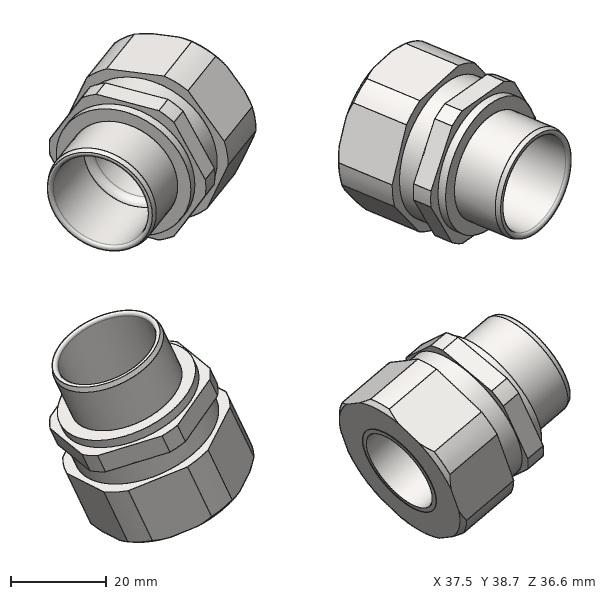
import cadquery as cq
import math

taper_start = 0.1
taper_end = 1.25
collar_start = 12.0
body_hex_start = 14.02
neck_start = 18.6
nut_start = 23.63
nut_end = 38.6
total_length = 38.73

tube_radius = 12.47
tube_tip_radius = 12.1
collar_radius = 15.5
neck_radius = 16.23
body_hex_flats = 33.0
body_hex_corner_radius = 18.0
nut_flats = 35.0
nut_corner_radius = 18.75
nut_angle = 8.6
nut_chamfer = 0.95
end_ring_radius = 10.85

tube_bore_radius = 10.95
bore_radius = 9.72
shoulder_start = 15.88
shoulder_sweep = math.radians(60)
lip_round = 0.75


def cylinder(radius, start, end):
    """Round bar along Y between two stations."""
    plane = cq.Workplane("XZ", origin=(0, start, 0))
    return plane.circle(radius).extrude(start - end)


def revolve_about_y(outline):
    """Turn a closed XY outline around the part's axis."""
    return outline.revolve(360, (0, 0, 0), (0, 1, 0))


def rounded_hex(flats, corner_radius, start, end):
    """Hexagon with flats facing Z and corners turned to a cylinder."""
    plane = cq.Workplane("XZ", origin=(0, start, 0))
    corner_diameter = flats / math.cos(math.pi / 6)
    hexagon = plane.polygon(6, corner_diameter).extrude(start - end)
    return hexagon.intersect(cylinder(corner_radius, start, end))


def make_tube():
    """Tube with a tapered tip and a rounded lip around its mouth."""
    crest_radius = tube_bore_radius + lip_round
    outline = (
        cq.Workplane("XY")
        .moveTo(0, lip_round)
        .lineTo(tube_bore_radius, lip_round)
        .threePointArc((crest_radius, 0), (tube_tip_radius, taper_start))
        .lineTo(tube_radius, taper_end)
        .lineTo(tube_radius, collar_start)
        .lineTo(0, collar_start)
        .close()
    )
    return revolve_about_y(outline)


def make_nut():
    """Turned hex nut, chamfered around its far face."""
    nut = rounded_hex(nut_flats, nut_corner_radius, nut_start, nut_end)
    envelope = cylinder(nut_corner_radius, nut_start, nut_end)
    nut = nut.intersect(envelope.faces(">Y").chamfer(nut_chamfer))
    return nut.rotate((0, 0, 0), (0, 1, 0), -nut_angle)


def make_passage():
    """Bore right through the part, with a convex shoulder meeting the narrow length tangentially."""
    shoulder_radius = (tube_bore_radius - bore_radius) / (1 - math.cos(shoulder_sweep))
    shoulder_end = shoulder_start + shoulder_radius * math.sin(shoulder_sweep)
    arc_middle = (
        bore_radius + shoulder_radius * (1 - math.cos(shoulder_sweep / 2)),
        shoulder_end - shoulder_radius * math.sin(shoulder_sweep / 2),
    )
    outline = (
        cq.Workplane("XY")
        .lineTo(tube_bore_radius, 0)
        .lineTo(tube_bore_radius, shoulder_start)
        .threePointArc(arc_middle, (bore_radius, shoulder_end))
        .lineTo(bore_radius, total_length)
        .lineTo(0, total_length)
        .close()
    )
    return revolve_about_y(outline)


body = make_tube()
body = body.union(cylinder(collar_radius, collar_start, body_hex_start))
body = body.union(rounded_hex(body_hex_flats, body_hex_corner_radius, body_hex_start, neck_start))
body = body.union(cylinder(neck_radius, neck_start, nut_start))
body = body.union(make_nut())
body = body.union(cylinder(end_ring_radius, nut_end, total_length))
result = body.cut(make_passage())